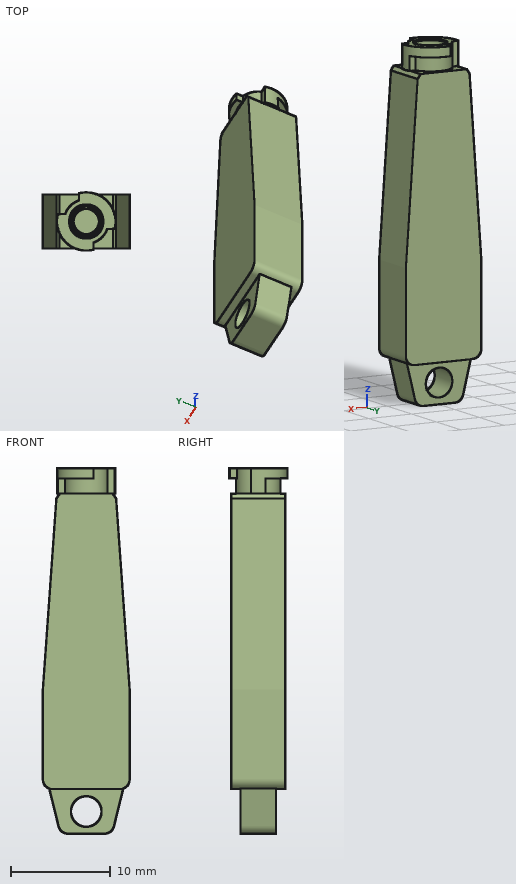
import cadquery as cq

total_height = 36.9

body_width = 8.8
body_thickness = 5.45
body_bottom = 4.5
body_corner_radius = 1.0
knee_height = 14.55
taper_end_width = 6.05
top_chamfer_run = 0.35
top_chamfer_drop = 0.48

loop_thickness = 3.6
loop_top_width = 7.45
loop_bottom_width = 5.25
loop_corner_radius = 1.0
loop_hole_diameter = 3.05
loop_hole_height = 2.25

collar_height = 2.6
flange_height = 1.05
flange_diameter = 5.9
hub_diameter = 4.5
key_width = 1.48

bore_diameter = 3.25
bore_depth = 1.0
bore_chamfer = 0.1
pin_diameter = 3.0
pin_recess = 0.5
pin_chamfer = 0.22

body_top = total_height - collar_height


def make_body():
    """Symmetrical tapered plate, rounded at its lower corners."""
    right_side = [
        (body_width / 2, body_bottom),
        (body_width / 2, knee_height),
        (taper_end_width / 2, body_top - top_chamfer_drop),
        (taper_end_width / 2 - top_chamfer_run, body_top),
    ]
    left_side = [(-x, z) for x, z in reversed(right_side)]
    plate = cq.Workplane("XZ").polyline(right_side + left_side).close()
    plate = plate.extrude(body_thickness / 2, both=True)
    return plate.faces("<Z").edges("|Y").fillet(body_corner_radius)


def make_loop():
    """Narrowing tab with a cross hole through its thickness."""
    outline = [
        (-loop_top_width / 2, body_bottom),
        (-loop_bottom_width / 2, 0),
        (loop_bottom_width / 2, 0),
        (loop_top_width / 2, body_bottom),
    ]
    root = cq.Workplane("XY", origin=(0, 0, body_bottom)).rect(loop_top_width, loop_thickness)
    root = root.extrude(body_corner_radius / 2)
    tab = cq.Workplane("XZ").polyline(outline).close().extrude(loop_thickness / 2, both=True)
    tab = tab.faces("<Z").edges("|Y").fillet(loop_corner_radius)
    hole = cq.Workplane("XZ", origin=(0, 0, loop_hole_height)).circle(loop_hole_diameter / 2)
    return tab.union(root).cut(hole.extrude(loop_thickness, both=True))


def cylinder(diameter, bottom, height):
    return cq.Workplane("XY", origin=(0, 0, bottom)).circle(diameter / 2).extrude(height)


def make_collar():
    """Hub with two full-height keys and a flange notched at two opposite corners."""
    hub = cylinder(hub_diameter, body_top, collar_height)

    key_band = cq.Workplane("XY", origin=(0, 0, body_top)).rect(flange_diameter, key_width)
    key_band = key_band.extrude(collar_height)
    keys = cylinder(flange_diameter, body_top, collar_height).intersect(key_band)

    flange_bottom = total_height - flange_height
    flange = cylinder(flange_diameter, flange_bottom, flange_height)
    notch_size = flange_diameter / 2
    notch_offset = key_width / 2 + notch_size / 2
    for side in (-1, 1):
        notch = cq.Workplane("XY", origin=(side * notch_offset, -side * notch_offset, flange_bottom))
        flange = flange.cut(notch.rect(notch_size, notch_size).extrude(flange_height))

    return hub.union(keys).union(flange)


def make_recess():
    """Chamfered blind bore, less the pin left standing on its floor."""
    bore_floor = total_height - bore_depth
    bore = cylinder(bore_diameter, bore_floor, bore_depth)
    rim = cq.Workplane("XY", origin=(0, 0, total_height)).circle(bore_diameter / 2 + bore_chamfer)
    rim = rim.workplane(offset=-bore_chamfer).circle(bore_diameter / 2).loft()
    pin = cylinder(pin_diameter, bore_floor, bore_depth - pin_recess)
    pin = pin.faces(">Z").chamfer(pin_chamfer)
    return bore.union(rim).cut(pin)


result = make_body().union(make_loop()).union(make_collar()).cut(make_recess())